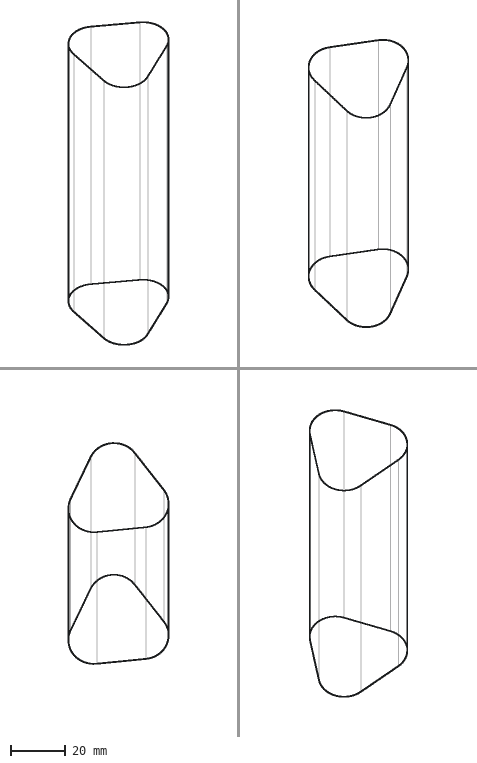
import cadquery as cq
import math

length = 128.8
width = 37.2
flat_width = 18.3

corner_radius = (width - flat_width) / 2
centre_distance = flat_width / math.sqrt(3)

corner_centres = [
    (centre_distance * math.cos(math.radians(angle)), centre_distance * math.sin(math.radians(angle)))
    for angle in (90, 210, 330)
]

result = (
    cq.Workplane("XY")
    .polyline(corner_centres)
    .close()
    .offset2D(corner_radius, "arc")
    .extrude(length)
)